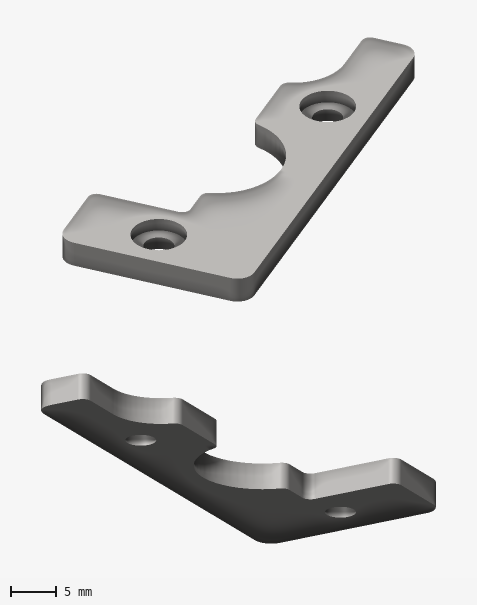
import cadquery as cq
import math

width = 22.5
length = 50.0
thickness = 3.0

foot_height = 10.0
lower_step_x = 11.3
upper_step_x = 11.15
arm_left_x = 16.0

recess_center_x = 10.0
large_recess_y = 22.0
large_recess_radius = 7.5
small_recess_y = 44.0
small_recess_radius = arm_left_x - recess_center_x

outer_corner_radius = 2.0
inner_corner_radius = 1.0

hole_diameter = 3.4
counterbore_diameter = 6.2
counterbore_depth = 1.5
hole_centers = [(10.0, 5.0), (17.5, 35.5)]


def recess_rise(radius, x):
    """Distance along Y from a recess centre to its rim at the given X."""
    return math.sqrt(radius**2 - (x - recess_center_x) ** 2)


lower_land_corner = (
    lower_step_x,
    large_recess_y - recess_rise(large_recess_radius, lower_step_x),
)
upper_land_bottom = (
    upper_step_x,
    large_recess_y + recess_rise(large_recess_radius, upper_step_x),
)
upper_land_top = (
    upper_step_x,
    small_recess_y - recess_rise(small_recess_radius, upper_step_x),
)


def make_sharp_plate():
    """Plate outline with unrounded corners, extruded to full thickness."""
    diagonal = math.sqrt(0.5) * small_recess_radius
    return (
        cq.Workplane("XY")
        .moveTo(0, 0)
        .lineTo(width, 0)
        .lineTo(width, length)
        .lineTo(arm_left_x, length)
        .lineTo(arm_left_x, small_recess_y)
        .threePointArc((recess_center_x + diagonal, small_recess_y - diagonal), upper_land_top)
        .lineTo(*upper_land_bottom)
        .threePointArc((recess_center_x + large_recess_radius, large_recess_y), lower_land_corner)
        .lineTo(lower_step_x, foot_height)
        .lineTo(0, foot_height)
        .close()
        .extrude(thickness)
    )


def round_corners(plate, corners, radius):
    """Fillet the vertical edges standing on the given outline corners."""
    edges = cq.Workplane("XY").newObject([])
    for x, y in corners:
        edge = plate.edges("|Z").edges(cq.selectors.NearestToPointSelector((x, y, thickness / 2)))
        edges = edges.add(edge)
    return plate.newObject([plate.val().fillet(radius, edges.vals())])


def cut_screw_holes(plate):
    """Counterbored through holes, opened from the top face."""
    return (
        plate.faces(">Z")
        .workplane(origin=(0, 0, thickness))
        .pushPoints(hole_centers)
        .cboreHole(hole_diameter, counterbore_diameter, counterbore_depth)
    )


outer_corners = [(0, 0), (width, 0), (width, length)]
inner_corners = [
    (arm_left_x, length),
    upper_land_top,
    upper_land_bottom,
    lower_land_corner,
    (lower_step_x, foot_height),
    (0, foot_height),
]

plate = make_sharp_plate()
plate = round_corners(plate, outer_corners, outer_corner_radius)
plate = round_corners(plate, inner_corners, inner_corner_radius)
result = cut_screw_holes(plate)